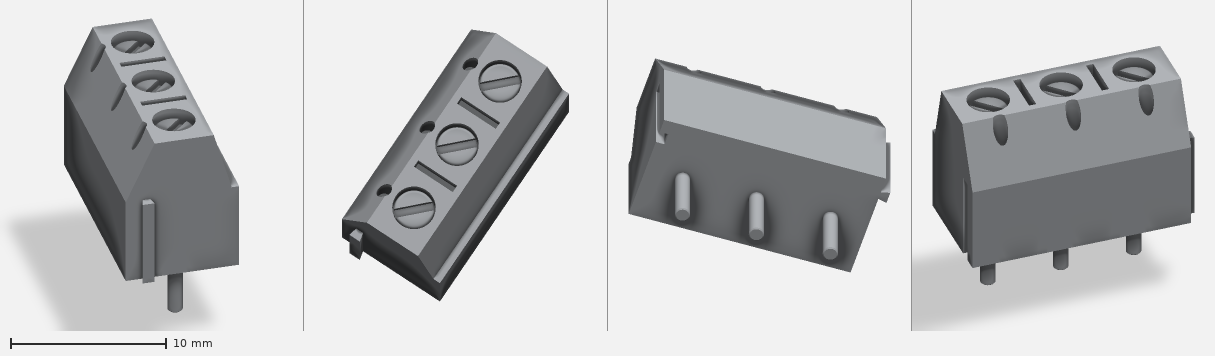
import cadquery as cq


POLES = 3
TOTAL_LENGTH = 15.6
HOUSING_LENGTH = 15.0
PITCH = HOUSING_LENGTH / POLES
HOUSING_DEPTH = 7.6
HOUSING_HEIGHT = 10.06
SHOULDER_HEIGHT = 5.93
TOP_FRONT_Y = 1.93
TOP_BACK_Y = 5.9
BACK_SLOPE_FOOT_Y = 7.1
TOP_CENTER_Y = (TOP_FRONT_Y + TOP_BACK_Y) / 2

RIB_LENGTH = TOTAL_LENGTH - HOUSING_LENGTH
RIB_CENTER_Y = 1.37
RIB_ROOT_WIDTH = 0.53
RIB_TIP_WIDTH = 0.81
GROOVE_WIDTH = RIB_TIP_WIDTH
GROOVE_DEPTH = RIB_LENGTH

WELL_DIAMETER = 2.81
SCREW_DIAMETER = 2.6
SCREW_HEIGHT = 1.0
SCREW_RECESS = 0.6
SCREW_EDGE_RADIUS = 0.2
DRIVER_SLOT_WIDTH = 0.6
DRIVER_SLOT_DEPTH = 0.5
DRIVER_SLOT_ANGLE = -45
WELL_DEPTH = SCREW_RECESS + SCREW_HEIGHT
WELL_FLOOR_CHAMFER = (WELL_DIAMETER - SCREW_DIAMETER) / 2

DIVIDER_WIDTH = 0.5
DIVIDER_LENGTH = 3.01
DIVIDER_DEPTH = 1.0

PROBE_DIAMETER = 1.0
PROBE_Y = 1.6
PROBE_DEPTH = HOUSING_HEIGHT - SHOULDER_HEIGHT

PIN_Y = 4.0
PIN_DIAMETER = 1.0
PIN_LENGTH = 4.25
PIN_CHAMFER = 0.08

POLE_X = [(i + 0.5) * PITCH for i in range(POLES)]
DIVIDER_X = [i * PITCH for i in range(1, POLES)]


def top_points(x_places, y):
    """Workplane on the flat top with a point at each X place."""
    plane = cq.Workplane("XY").workplane(offset=HOUSING_HEIGHT)
    return plane.pushPoints([(x, y) for x in x_places])


def make_block():
    """Solid block with sloped upper sides, extruded along the row of poles."""
    profile = [
        (0, 0),
        (HOUSING_DEPTH, 0),
        (HOUSING_DEPTH, SHOULDER_HEIGHT),
        (BACK_SLOPE_FOOT_Y, SHOULDER_HEIGHT),
        (TOP_BACK_Y, HOUSING_HEIGHT),
        (TOP_FRONT_Y, HOUSING_HEIGHT),
        (0, SHOULDER_HEIGHT),
    ]
    return cq.Workplane("YZ").polyline(profile).close().extrude(HOUSING_LENGTH)


def make_rib():
    """Dovetail rib on the +X end, wider at its tip."""
    root_x = HOUSING_LENGTH
    tip_x = HOUSING_LENGTH + RIB_LENGTH
    outline = [
        (root_x, RIB_CENTER_Y - RIB_ROOT_WIDTH / 2),
        (tip_x, RIB_CENTER_Y - RIB_TIP_WIDTH / 2),
        (tip_x, RIB_CENTER_Y + RIB_TIP_WIDTH / 2),
        (root_x, RIB_CENTER_Y + RIB_ROOT_WIDTH / 2),
    ]
    return cq.Workplane("XY").polyline(outline).close().extrude(SHOULDER_HEIGHT)


def make_groove():
    """Straight groove in the -X end that takes the rib of the next block."""
    return (
        cq.Workplane("XY")
        .center(GROOVE_DEPTH / 2, RIB_CENTER_Y)
        .rect(GROOVE_DEPTH, GROOVE_WIDTH)
        .extrude(SHOULDER_HEIGHT)
    )


def make_well(x):
    """Space around a screw: a round well whose chamfered floor edge reaches in to the screw."""
    well = cq.Workplane("XY").circle(WELL_DIAMETER / 2).extrude(WELL_DEPTH)
    well = well.faces("<Z").edges().chamfer(WELL_FLOOR_CHAMFER)
    return well.translate((x, TOP_CENTER_Y, HOUSING_HEIGHT - WELL_DEPTH))


def make_housing():
    """Block with its rib, groove, screw wells, divider slots and probe holes."""
    dividers = top_points(DIVIDER_X, TOP_CENTER_Y).rect(DIVIDER_WIDTH, DIVIDER_LENGTH).extrude(-DIVIDER_DEPTH)
    probe_holes = top_points(POLE_X, PROBE_Y).circle(PROBE_DIAMETER / 2).extrude(-PROBE_DEPTH)
    body = make_block().union(make_rib()).cut(make_groove())
    for x in POLE_X:
        body = body.cut(make_well(x))
    return body.cut(dividers).cut(probe_holes)


def make_screw(x):
    """Slotted screw with a rounded top edge, standing on the floor of its well."""
    screw = cq.Workplane("XY").circle(SCREW_DIAMETER / 2).extrude(SCREW_HEIGHT)
    screw = screw.faces(">Z").edges().fillet(SCREW_EDGE_RADIUS)
    slot = (
        cq.Workplane("XY")
        .workplane(offset=SCREW_HEIGHT)
        .transformed(rotate=(0, 0, DRIVER_SLOT_ANGLE))
        .rect(2 * SCREW_DIAMETER, DRIVER_SLOT_WIDTH)
        .extrude(-DRIVER_SLOT_DEPTH)
    )
    return screw.cut(slot).translate((x, TOP_CENTER_Y, HOUSING_HEIGHT - WELL_DEPTH))


def make_pin(x):
    """Round pin hanging from the underside, with a chamfered lower end."""
    pin = cq.Workplane("XY").circle(PIN_DIAMETER / 2).extrude(-PIN_LENGTH)
    return pin.faces("<Z").chamfer(PIN_CHAMFER).translate((x, PIN_Y, 0))


housing = make_housing()
screws = [make_screw(x) for x in POLE_X]
pins = [make_pin(x) for x in POLE_X]

result = cq.Compound.makeCompound(
    [housing.val()]
    + [screw.val() for screw in screws]
    + [pin.val() for pin in pins]
)